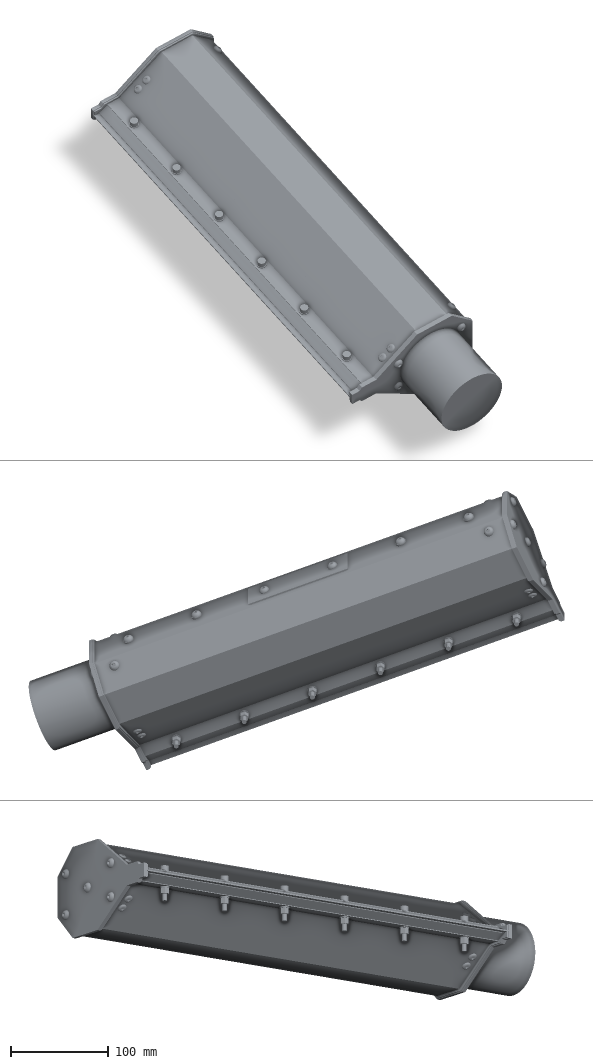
import cadquery as cq


housing_length = 467.8
plate_thickness = 4.0
gasket_thickness = 1.6
gasket_inset = 0.8
plate_margin = 3.175

plate_back = 52.9
plate_half_height = 48.26
plate_back_chamfer = 26.2
plate_top_front = -16.9
plate_neck_y = -68.3
plate_neck_half_height = 11.0
plate_step_start = -86.4
plate_nose_back = -89.4
plate_nose_half_height = 7.4
front_end = -98.8

body_half_height = plate_half_height - plate_margin
body_back = plate_back - plate_margin
body_back_chamfer = 24.7
body_top_front = -13.8
body_neck_y = -67.3
neck_half_height = plate_neck_half_height - plate_margin
band_front = -82.2
band_thickness = 0.7
jaw_nose = -92.7
jaw_nose_half_height = 1.3
jaw_nose_radius = 0.4
blade_half_thickness = 0.7
body_slope = (body_half_height - neck_half_height) / (body_top_front - body_neck_y)

tube_diameter = 76.2
tube_length = 73.73

screw_diameter = 10.5
screw_height = 3.3
slope_screw_diameter = 9.5
slope_screw_height = 1.8
shoulder_radius_ratio = 0.85
shoulder_height_ratio = 0.6
crown_ratio = 0.5
socket_ratio = 0.38
socket_depth_ratio = 0.5
embed = 1.0

plate_back_screw_y = 38.2
plate_back_screw_z = 21.7
plate_front_screw_y = -41.0
plate_front_screw_z = 18.0
slope_screw_inset = 15.0
slope_screw_ys = [-39.6, -50.3]
chamfer_screw_inset = 24.4
chamfer_screw_y = 43.1

bolt_count = 6
bolt_pitch = 76.2
first_bolt_x = (housing_length - (bolt_count - 1) * bolt_pitch) / 2
bolt_y = -75.1
bolt_head_diameter = 8.5
bolt_head_height = 5.4
bolt_shank_diameter = 5.0
bolt_end_z = -22.5
bolt_washer_diameter = 10.0
washer_thickness = 1.0
nut_across_corners = 9.24
nut_height = 6.3
back_washer_diameter = 11.0
back_end = 54.97
back_screw_seat_y = back_end - screw_height

name_plate_length = 111.0
name_plate_center_x = 234.6
name_plate_height = 30.0
name_plate_thickness = 1.6


def symmetric_profile(upper_points, start_x, length):
    """Extrude along X an outline given by its upper half."""
    lower_points = [(y, -z) for y, z in reversed(upper_points)]
    outline = cq.Workplane("YZ", origin=(start_x, 0, 0)).polyline(upper_points + lower_points)
    return outline.close().extrude(length)


def disc(plane, base, diameter, height):
    return cq.Workplane(plane, origin=base).circle(diameter / 2).extrude(height)


def button_head(base, normal, diameter, height):
    """Button-head screw with a hexagon socket, seated at base and facing along normal."""
    radius = diameter / 2
    head = (
        cq.Workplane("XZ")
        .moveTo(0, -embed)
        .lineTo(radius, -embed)
        .lineTo(radius, 0)
        .threePointArc(
            (shoulder_radius_ratio * radius, shoulder_height_ratio * height),
            (crown_ratio * radius, height),
        )
        .lineTo(0, height)
        .close()
        .revolve(360, (0, 0, 0), (0, 1, 0))
    )
    socket_depth = height * socket_depth_ratio
    socket = (
        cq.Workplane("XY", origin=(0, 0, height - socket_depth))
        .polygon(6, diameter * socket_ratio)
        .extrude(socket_depth)
    )
    seat = cq.Plane(origin=base, normal=normal)
    return cq.Workplane(head.cut(socket).val().moved(cq.Location(seat)))


def make_body():
    outline = [
        (body_back, body_half_height - body_back_chamfer),
        (body_back - body_back_chamfer, body_half_height),
        (body_top_front, body_half_height),
        (body_neck_y, neck_half_height),
        (band_front, neck_half_height),
        (band_front, neck_half_height - band_thickness),
        (jaw_nose, jaw_nose_half_height),
        (jaw_nose, blade_half_thickness),
        (front_end, blade_half_thickness),
    ]
    body = symmetric_profile(outline, 0, housing_length)
    for side in (1, -1):
        nose_edge = cq.selectors.NearestToPointSelector(
            (housing_length / 2, jaw_nose, side * jaw_nose_half_height)
        )
        body = body.edges(nose_edge).fillet(jaw_nose_radius)
    return body


def make_end_closure():
    """End plate with its slightly smaller gasket, lying on X = 0 with the gasket inward."""
    outline = [
        (plate_back, plate_half_height - plate_back_chamfer),
        (plate_back - plate_back_chamfer, plate_half_height),
        (plate_top_front, plate_half_height),
        (plate_neck_y, plate_neck_half_height),
        (plate_step_start, plate_neck_half_height),
        (plate_nose_back, plate_nose_half_height),
        (front_end, plate_nose_half_height),
    ]
    plate = symmetric_profile(outline, 0, plate_thickness)
    gasket = plate.faces(">X").wires().toPending().offset2D(-gasket_inset)
    return gasket.extrude(gasket_thickness)


def make_end_plate_screws():
    """Four screws on each end plate, plus one in the middle of the left plate."""
    screws = [button_head((0, 0, 0), (-1, 0, 0), screw_diameter, screw_height)]
    for x, outward in ((0, -1), (housing_length, 1)):
        for side in (1, -1):
            for y, z in (
                (plate_back_screw_y, plate_back_screw_z),
                (plate_front_screw_y, plate_front_screw_z),
            ):
                screws.append(
                    button_head((x, y, side * z), (outward, 0, 0), screw_diameter, screw_height)
                )
    return screws


def make_slope_screws():
    """Pairs of low screws near both ends of the upper and lower front slopes."""
    screws = []
    for side in (1, -1):
        for x in (slope_screw_inset, housing_length - slope_screw_inset):
            for y in slope_screw_ys:
                z = neck_half_height + body_slope * (y - body_neck_y)
                screws.append(
                    button_head(
                        (x, y, side * z),
                        (0, -body_slope, side),
                        slope_screw_diameter,
                        slope_screw_height,
                    )
                )
    return screws


def make_chamfer_screws():
    """One screw near each end of the upper and lower 45 degree back faces."""
    z = body_half_height - body_back_chamfer + body_back - chamfer_screw_y
    screws = []
    for side in (1, -1):
        for x in (chamfer_screw_inset, housing_length - chamfer_screw_inset):
            screws.append(
                button_head((x, chamfer_screw_y, side * z), (0, 1, side), screw_diameter, screw_height)
            )
    return screws


def make_clamp_bolt(x):
    """Cap screw down through the front band, with washers and a hexagon nut below."""
    washer_span = 2 * (neck_half_height + washer_thickness)
    washer_bottom = -washer_span / 2
    washers = disc("XY", (x, bolt_y, washer_bottom), bolt_washer_diameter, washer_span)
    head = disc("XY", (x, bolt_y, 0), bolt_head_diameter, washer_span / 2 + bolt_head_height)
    shank = disc("XY", (x, bolt_y, bolt_end_z), bolt_shank_diameter, -bolt_end_z)
    nut = (
        cq.Workplane("XY", origin=(x, bolt_y, washer_bottom - nut_height))
        .polygon(6, nut_across_corners)
        .extrude(nut_height + embed)
    )
    return washers.union(head).union(shank).union(nut)


def make_back_screw(x):
    """Button-head screw on a washer, standing on the back wall."""
    washer_height = back_screw_seat_y - body_back + embed
    washer = disc("XZ", (x, back_screw_seat_y, 0), back_washer_diameter, washer_height)
    return washer.union(
        button_head((x, back_screw_seat_y, 0), (0, 1, 0), screw_diameter, screw_height)
    )


def make_name_plate():
    depth = name_plate_thickness + embed
    center_y = body_back + name_plate_thickness - depth / 2
    return cq.Workplane("XY", origin=(name_plate_center_x, center_y, 0)).box(
        name_plate_length, depth, name_plate_height
    )


left_closure = make_end_closure()
right_closure = left_closure.mirror("YZ").translate((housing_length, 0, 0))
pieces = [left_closure, right_closure]
pieces.append(disc("YZ", (housing_length, 0, 0), tube_diameter, tube_length))
pieces.append(make_name_plate())
pieces += make_end_plate_screws()
pieces += make_slope_screws()
pieces += make_chamfer_screws()
for i in range(bolt_count):
    bolt_x = first_bolt_x + i * bolt_pitch
    pieces.append(make_clamp_bolt(bolt_x))
    pieces.append(make_back_screw(bolt_x))

result = make_body()
for piece in pieces:
    result = result.union(piece)